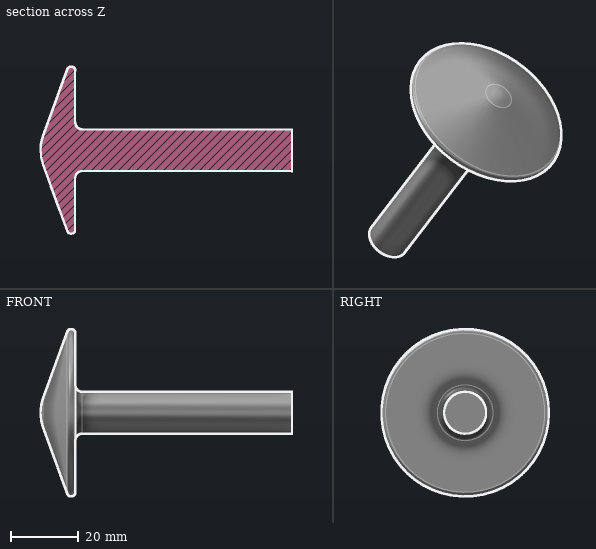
import cadquery as cq
import math

total_length = 75.0
head_diameter = 49.95
stem_diameter = 12.5
rim_radius = 1.3
tip_radius = 12.5
root_fillet = 2.0
cone_angle = math.radians(20)

head_radius = head_diameter / 2
stem_radius = stem_diameter / 2


def point_on_arc(center_x, center_r, radius, angle):
    """Point of a profile arc, with the angle measured from -X towards the outside."""
    return (center_x - radius * math.cos(angle), center_r + radius * math.sin(angle))


tip_middle = point_on_arc(tip_radius, 0, tip_radius, cone_angle / 2)
cone_start = point_on_arc(tip_radius, 0, tip_radius, cone_angle)

rim_center_r = head_radius - rim_radius
cone_end_r = rim_center_r + rim_radius * math.sin(cone_angle)
cone_end_x = cone_start[0] + (cone_end_r - cone_start[1]) * math.tan(cone_angle)
rim_center_x = cone_end_x + rim_radius * math.cos(cone_angle)
head_back_x = rim_center_x + rim_radius

fillet_end_x = head_back_x + root_fillet
fillet_start_r = stem_radius + root_fillet
fillet_middle = point_on_arc(fillet_end_x, fillet_start_r, root_fillet, math.radians(-45))

profile = (
    cq.Workplane("XY")
    .moveTo(0, 0)
    .threePointArc(tip_middle, cone_start)
    .lineTo(cone_end_x, cone_end_r)
    .threePointArc((rim_center_x, head_radius), (head_back_x, rim_center_r))
    .lineTo(head_back_x, fillet_start_r)
    .threePointArc(fillet_middle, (fillet_end_x, stem_radius))
    .lineTo(total_length, stem_radius)
    .lineTo(total_length, 0)
    .close()
)

result = profile.revolve(360, (0, 0, 0), (1, 0, 0))